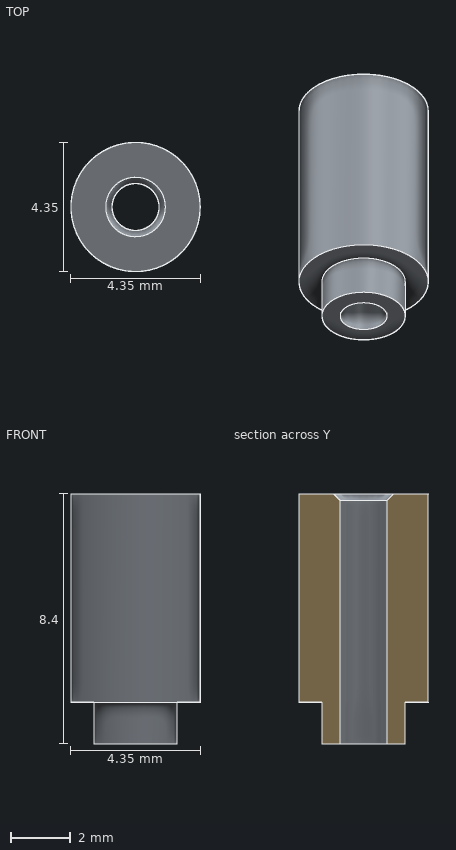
import cadquery as cq

body_diameter = 4.35
pin_diameter = 2.8
bore_diameter = 1.57
countersink_diameter = 2.0
body_height = 7.0
pin_height = 1.4

countersink_depth = (countersink_diameter - bore_diameter) / 2


def make_spacer():
    """Round body standing on z = 0, with a narrower pin below it."""
    body = cq.Workplane("XY").circle(body_diameter / 2).extrude(body_height)
    pin = cq.Workplane("XY").circle(pin_diameter / 2).extrude(-pin_height)
    return body.union(pin)


def cut_bore(spacer):
    """Drill the through bore and break its top edge with the countersink."""
    bore = (
        cq.Workplane("XY", origin=(0, 0, -pin_height))
        .circle(bore_diameter / 2)
        .extrude(pin_height + body_height)
    )
    drilled = spacer.cut(bore)
    bore_top_edge = drilled.faces(">Z").edges(cq.selectors.RadiusNthSelector(0))
    return bore_top_edge.chamfer(countersink_depth)


result = cut_bore(make_spacer())